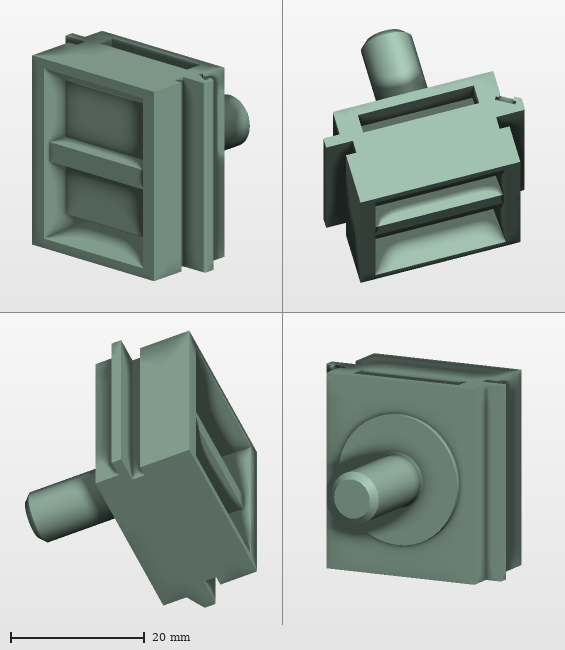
import cadquery as cq
import math

height = 30.0
half_height = height / 2
body_half_width = 12.48
lower_right_x = 12.4
body_depth = 15.42

tab_left_x = -15.0
tab_right_x = 15.4
tab_back_y = 11.6
left_tab_front_y = 10.05
right_tab_front_y = 8.02
notch_half_width = 10.85
notch_depth = 2.0
tab_corner_radius = 0.4
tab_slope = math.radians(30)

t_mouth_length = 2.15
t_lip = 0.65
t_floor = 1.22
t_undercut = 0.5
t_depth = 1.0

draft_angle = 4
draft_rate = math.tan(math.radians(draft_angle))

pocket_half_width = 10.1
pocket_half_height = 13.48
pocket_depth = 4.43
recess_inner_z = 10.55
recess_depth = 9.2
rib_half_height = 1.53
rib_setback = 1.2
rib_draft_angle = 2

slot_half_width = 9.02
slot_front_y = 10.92
slot_back_y = 13.9
slot_depth = 3.8

flange_radius = 10.0
flange_thickness = 0.87
stud_radius = 4.0
stud_end_y = 31.2
stud_chamfer = 1.0
stud_fillet = 0.37


def on_slope(along, inward):
    """Point measured down the sloped tab face and square into it."""
    x = body_half_width + along * math.cos(tab_slope) - inward * math.sin(tab_slope)
    y = tab_back_y - along * math.sin(tab_slope) - inward * math.cos(tab_slope)
    return x, y


def make_body():
    slope_end_y = tab_back_y - (tab_right_x - body_half_width) * math.tan(tab_slope)
    outline = [
        (-body_half_width, 0),
        (lower_right_x, 0),
        (lower_right_x, right_tab_front_y - notch_depth),
        (notch_half_width, right_tab_front_y - notch_depth),
        (notch_half_width, right_tab_front_y),
        (tab_right_x, right_tab_front_y),
        (tab_right_x, slope_end_y),
        (body_half_width, tab_back_y),
        (body_half_width, body_depth),
        (-body_half_width, body_depth),
        (-body_half_width, tab_back_y),
        (tab_left_x, tab_back_y),
        (tab_left_x, left_tab_front_y),
        (-notch_half_width, left_tab_front_y),
        (-notch_half_width, left_tab_front_y - notch_depth),
        (-body_half_width, left_tab_front_y - notch_depth),
    ]
    body = cq.Workplane("XY").workplane(offset=-half_height).polyline(outline).close().extrude(height)
    return body.edges("|Z and >X").fillet(tab_corner_radius)


def make_t_slot():
    outline = [
        on_slope(0, 0),
        on_slope(0, t_lip),
        on_slope(-t_undercut, t_lip),
        on_slope(-t_undercut, t_floor),
        on_slope(t_mouth_length + t_undercut, t_floor),
        on_slope(t_mouth_length + t_undercut, t_lip),
        on_slope(t_mouth_length, t_lip),
        on_slope(t_mouth_length, 0),
    ]
    return cq.Workplane("XY").workplane(offset=half_height).polyline(outline).close().extrude(-t_depth)


def make_front_pocket():
    """Drafted cavity, less the cross rib and the raised floor panel left inside it."""
    cavity = (
        cq.Workplane("XZ")
        .rect(2 * pocket_half_width, 2 * pocket_half_height)
        .extrude(-recess_depth, taper=draft_angle)
    )
    rib_base_z = rib_half_height + (pocket_depth - rib_setback) * math.tan(math.radians(rib_draft_angle))
    panel_base_z = recess_inner_z + (recess_depth - pocket_depth) * draft_rate
    upper_half = [
        (rib_setback, rib_half_height),
        (pocket_depth, rib_base_z),
        (pocket_depth, recess_inner_z),
        (recess_depth, panel_base_z),
    ]
    lower_half = [(y, -z) for y, z in reversed(upper_half)]
    core = (
        cq.Workplane("YZ")
        .polyline(upper_half + lower_half)
        .close()
        .extrude(pocket_half_width, both=True)
    )
    return cavity.cut(core)


def make_top_slot():
    """Blind slot drafted at its ends and back; its front wall is upright."""
    inset = slot_depth * draft_rate
    floor_half_width = slot_half_width - inset
    slot_width_y = slot_back_y - slot_front_y
    floor_width_y = slot_width_y - inset
    return (
        cq.Workplane("XY", origin=(0, slot_front_y, half_height))
        .center(0, slot_width_y / 2)
        .rect(2 * slot_half_width, slot_width_y)
        .workplane(offset=-slot_depth)
        .center(0, (floor_width_y - slot_width_y) / 2)
        .rect(2 * floor_half_width, floor_width_y)
        .loft(ruled=True)
    )


def make_stud():
    flange_back_y = body_depth + flange_thickness
    fillet_mid = stud_fillet * (1 - math.sqrt(0.5))
    return (
        cq.Workplane("XY")
        .moveTo(0, body_depth)
        .lineTo(flange_radius, body_depth)
        .lineTo(flange_radius, flange_back_y)
        .lineTo(stud_radius + stud_fillet, flange_back_y)
        .threePointArc(
            (stud_radius + fillet_mid, flange_back_y + fillet_mid),
            (stud_radius, flange_back_y + stud_fillet),
        )
        .lineTo(stud_radius, stud_end_y - stud_chamfer)
        .lineTo(stud_radius - stud_chamfer, stud_end_y)
        .lineTo(0, stud_end_y)
        .close()
        .revolve(360, (0, 0, 0), (0, 1, 0))
    )


result = make_body().union(make_stud()).cut(make_front_pocket()).cut(make_top_slot()).cut(make_t_slot())